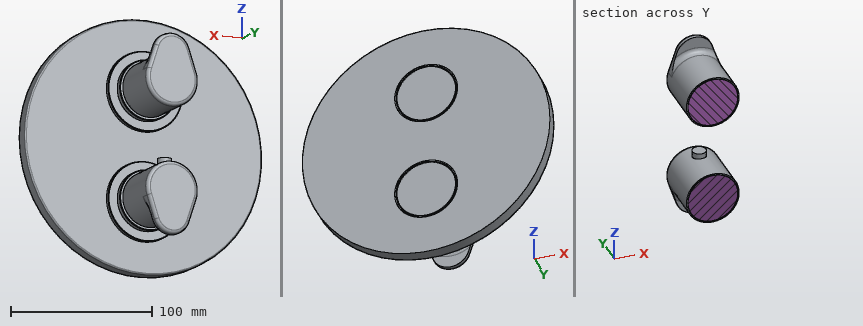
import cadquery as cq
import math

plate_diameter = 185.0
plate_thickness = 10.0
plate_edge_radius = 1.0
handle_spacing = 80.0

flange_diameter = 58.0
flange_thickness = 3.2
flange_chamfer = 0.5
spigot_diameter = 47.0

collar_diameter = 44.0
collar_length = 4.5
collar_chamfer = 0.5
groove_width = 0.5
groove_depth = 1.0

neck_diameter = 38.0
neck_length = 0.5

grip_diameter = 40.0
grip_length = 41.1
grip_end_radius = 2.5
paddle_reach = 33.0
paddle_tip_radius = 14.0
paddle_thickness = 5.0
paddle_root_radius = 4.0

button_diameter = 10.2
button_height = 24.0
button_setback = 14.0

flange_back = plate_thickness + flange_thickness
collar_back = flange_back + collar_length
grip_front = collar_back + neck_length
grip_back = grip_front + grip_length
paddle_front = grip_back - paddle_thickness


def rod(diameter, start, end):
    """Solid cylinder along Y between two Y positions."""
    sketch = cq.Workplane("XZ", origin=(0, start, 0)).circle(diameter / 2)
    return sketch.extrude(start - end)


def paddle_outline(start, end):
    """Prism of the grip circle joined by tangent flanks to the paddle tip circle."""
    grip_radius = grip_diameter / 2
    tip_centre = paddle_reach - paddle_tip_radius
    flank_sine = (grip_radius - paddle_tip_radius) / tip_centre
    flank_cosine = math.sqrt(1 - flank_sine**2)
    root_x = grip_radius * flank_cosine
    root_z = grip_radius * flank_sine
    tip_x = paddle_tip_radius * flank_cosine
    tip_z = tip_centre + paddle_tip_radius * flank_sine
    return (
        cq.Workplane("XZ", origin=(0, start, 0))
        .moveTo(root_x, root_z)
        .lineTo(tip_x, tip_z)
        .threePointArc((0, paddle_reach), (-tip_x, tip_z))
        .lineTo(-root_x, root_z)
        .threePointArc((0, -grip_radius), (root_x, root_z))
        .close()
        .extrude(start - end)
    )


def paddle_root():
    """Concave fillet swept round the grip under the paddle, trimmed to the paddle outline."""
    grip_radius = grip_diameter / 2
    root_start = paddle_front - paddle_root_radius
    arc_offset = paddle_root_radius * (1 - math.sqrt(0.5))
    flare = (
        cq.Workplane("XY")
        .moveTo(0, root_start)
        .lineTo(grip_radius, root_start)
        .threePointArc(
            (grip_radius + arc_offset, paddle_front - arc_offset),
            (grip_radius + paddle_root_radius, paddle_front),
        )
        .lineTo(0, paddle_front)
        .close()
        .revolve(360, (0, 0, 0), (0, 1, 0))
    )
    return flare.intersect(paddle_outline(root_start, paddle_front))


def make_handle():
    """Handle on the Y axis with its paddle pointing to +Z."""
    flange = rod(flange_diameter, plate_thickness, flange_back).faces(">Y").chamfer(flange_chamfer)
    collar = rod(collar_diameter, flange_back, collar_back).faces(">Y").chamfer(collar_chamfer)
    paddle = paddle_outline(paddle_front, grip_back).faces(">Y").edges().fillet(grip_end_radius)
    groove = rod(collar_diameter + 2 * groove_width, 0, groove_depth).cut(
        rod(collar_diameter, 0, groove_depth)
    )
    return (
        rod(spigot_diameter, 0, plate_thickness)
        .cut(groove)
        .union(flange)
        .union(collar)
        .union(rod(neck_diameter, collar_back, grip_front))
        .union(rod(grip_diameter, grip_front, paddle_front))
        .union(paddle_root())
        .union(paddle)
    )


def make_plate():
    """Round cover plate with a hole for each handle."""
    plate = rod(plate_diameter, 0, plate_thickness).faces(">Y").edges().fillet(plate_edge_radius)
    for side in (1, -1):
        hole = rod(spigot_diameter, 0, plate_thickness)
        plate = plate.cut(hole.translate((0, 0, side * handle_spacing / 2)))
    return plate


def make_button():
    """Stop button standing on the +Z side of a grip centred on the Y axis."""
    return (
        cq.Workplane("XY")
        .center(0, grip_back - button_setback)
        .circle(button_diameter / 2)
        .extrude(button_height)
    )


plate = make_plate()
upper_handle = make_handle().translate((0, 0, handle_spacing / 2))
lower_handle = (
    make_handle()
    .rotate((0, 0, 0), (0, 1, 0), 180)
    .union(make_button())
    .translate((0, 0, -handle_spacing / 2))
)

result = cq.Compound.makeCompound([plate.val(), upper_handle.val(), lower_handle.val()])